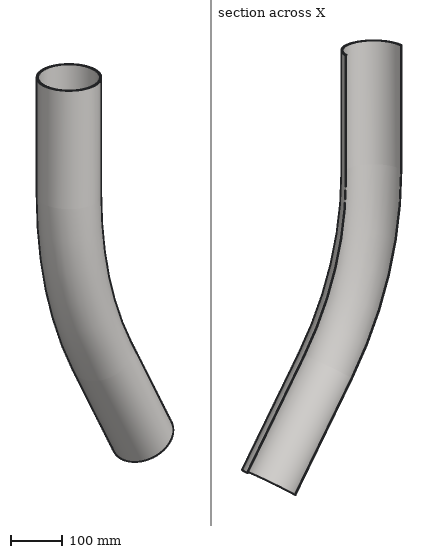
import cadquery as cq
import math

outer_diameter = 127.0
inner_diameter = 120.9
leg_length = 2 * outer_diameter
bend_radius = 6 * outer_diameter
bend_angle = 30.0


def bend_point(angle):
    """Centreline point (Y, Z) after turning by angle; the bend starts at the origin, heading down."""
    turn = math.radians(angle)
    return (bend_radius * (1 - math.cos(turn)), -bend_radius * math.sin(turn))


def pipe_centreline():
    """Vertical upper leg, a bend towards +Y, then the inclined lower leg."""
    turn = math.radians(bend_angle)
    bend_end_y, bend_end_z = bend_point(bend_angle)
    lower_end = (
        bend_end_y + leg_length * math.sin(turn),
        bend_end_z - leg_length * math.cos(turn),
    )
    return (
        cq.Workplane("YZ")
        .moveTo(0, leg_length)
        .lineTo(0, 0)
        .threePointArc(bend_point(bend_angle / 2), (bend_end_y, bend_end_z))
        .lineTo(*lower_end)
    )


def bent_pipe():
    """Annular section swept from the top of the upper leg along the centreline."""
    section = (
        cq.Workplane("XY", origin=(0, 0, leg_length))
        .circle(outer_diameter / 2)
        .circle(inner_diameter / 2)
    )
    return section.sweep(pipe_centreline())


result = bent_pipe()